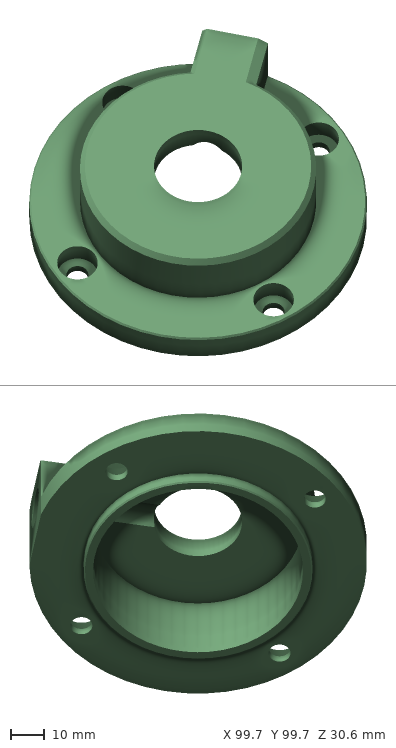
import cadquery as cq

flange_diameter = 99.7
hub_diameter = 69.8
spigot_diameter = 67.6
bore_diameter = 26.0
recess_diameter = 62.0
recess_depth = 22.9
spigot_height = 3.9
flange_height = 8.8
total_height = 30.6
flange_top = spigot_height + flange_height
hub_chamfer = 1.5
edge_chamfer = 0.5
spigot_chamfer = 0.4

bolt_circle_diameter = 84.1
bolt_count = 4
bolt_diameter = 6.5
counterbore_diameter = 12.0
counterbore_depth = 6.3

port_angle = 135.0
port_reach = 48.9
port_width = 19.9
wide_chamfer = 3.0
port_diameter = 12.0
port_height = 18.8


def disc(diameter, bottom, top):
    return cq.Workplane("XY").workplane(offset=bottom).circle(diameter / 2).extrude(top - bottom)


def turned_body():
    spigot = disc(spigot_diameter, 0, spigot_height).faces("<Z").edges().chamfer(spigot_chamfer)
    flange = disc(flange_diameter, spigot_height, flange_top).faces(">Z").edges().chamfer(edge_chamfer)
    hub = disc(hub_diameter, spigot_height, total_height).faces(">Z").edges().chamfer(hub_chamfer)
    return spigot.union(flange).union(hub)


def port_block():
    half_width = port_width / 2
    shoulder = total_height - hub_chamfer
    block = (
        cq.Workplane("YZ")
        .moveTo(-half_width, spigot_height)
        .lineTo(half_width, spigot_height)
        .lineTo(half_width, shoulder)
        .lineTo(half_width - hub_chamfer, total_height)
        .lineTo(wide_chamfer - half_width, total_height)
        .lineTo(-half_width, shoulder)
        .close()
        .extrude(port_reach)
    )
    return block.rotate((0, 0, 0), (0, 0, 1), port_angle)


def flange_flat():
    flat = cq.Workplane("XY").box(
        flange_diameter, flange_diameter, total_height, centered=(False, True, False)
    )
    return flat.translate((port_reach, 0, 0)).rotate((0, 0, 0), (0, 0, 1), port_angle)


def port_hole():
    hole = cq.Workplane("YZ").center(0, port_height).circle(port_diameter / 2).extrude(port_reach)
    return hole.rotate((0, 0, 0), (0, 0, 1), port_angle)


def mounting_holes():
    through = disc(bolt_diameter, 0, flange_top)
    counterbore = disc(counterbore_diameter, flange_top - counterbore_depth, flange_top)
    hole = through.union(counterbore).translate((bolt_circle_diameter / 2, 0, 0))
    holes = cq.Workplane("XY")
    for index in range(bolt_count):
        angle = index * 360 / bolt_count
        holes = holes.add(hole.rotate((0, 0, 0), (0, 0, 1), angle))
    return holes.combine()


result = turned_body().union(port_block())
result = result.cut(flange_flat())
result = result.cut(port_hole())
result = result.cut(disc(recess_diameter, 0, recess_depth))
result = result.cut(disc(bore_diameter, 0, total_height))
result = result.cut(mounting_holes())